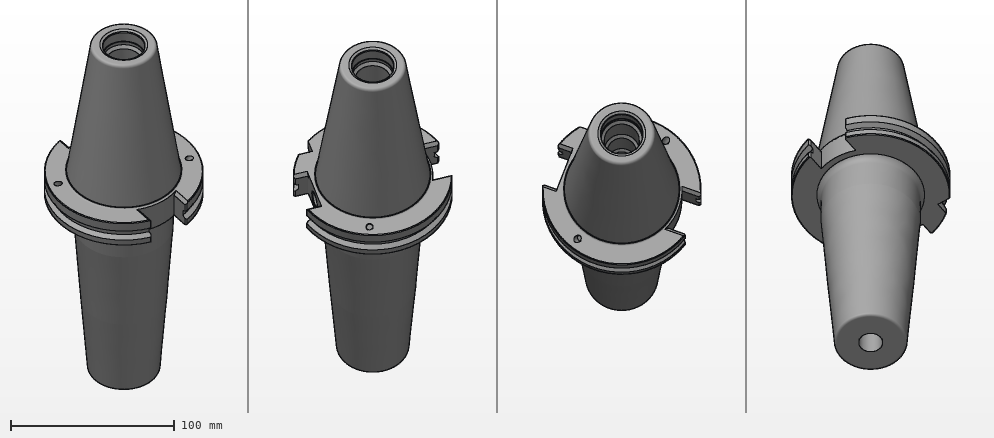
import cadquery as cq
import math

total_height = 261.5
gauge_height = 160.0
flange_bottom = 140.7
neck_bottom = 115.0
nose_line = 57.0

taper_ratio = 7 / 24
gauge_radius = 35.0
taper_top_radius = gauge_radius - (total_height - gauge_height) * taper_ratio / 2
taper_top_rounding = 2.0
collar_radius = 35.5
shoulder_fillet = 1.0

flange_top = gauge_height - shoulder_fillet
flange_radius = 48.7
flange_edge = 0.5
groove_floor_radius = 45.5
groove_middle = 148.9
groove_floor_width = 3.7
groove_mouth_width = 7.3

neck_radius = 30.3
neck_flare_height = 5.2
neck_flare_arc = 6.5
neck_flare_width = neck_flare_arc - math.sqrt(neck_flare_arc**2 - neck_flare_height**2)
nose_line_radius = 26.5
nose_radius = 22.2
nose_rounding = 1.8

bore_steps = [
    (0, 14.6),
    (0.8, 13.0),
    (1.5, 12.8),
    (8.5, 12.8),
    (8.6, 12.5),
    (11.0, 12.5),
    (12.8, 10.7),
    (31.5, 10.7),
    (33.2, 9.0),
    (52.3, 9.0),
    (54.0, 7.3),
]

slot_width = 25.6
slot_top_chamfer = 2.0
slot_rim_chamfer = 1.0
slot_floor_fillet = 0.8
left_slot_floor = 37.5
right_slot_core_radius = 37.0

notch_edge = 29.5

recess_radius = 5.0
recess_chamfer = 0.5
recess_depth = 5.2
recess_hole_radius = 1.3
recess_hole_depth = 2.5

outlet_radius = 2.0
outlet_circle_radius = 41.9
outlet_angle = 70
outlet_tilt = 35
outlet_depth = 5.2


def make_body():
    """Taper, collar, neck and nose turned about Z."""
    outline = (
        cq.Workplane("XZ")
        .lineTo(nose_radius, 0)
        .lineTo(nose_line_radius, nose_line)
        .lineTo(neck_radius, neck_bottom)
        .lineTo(neck_radius, flange_bottom - neck_flare_height)
        .radiusArc((neck_radius + neck_flare_width, flange_bottom), neck_flare_arc)
        .lineTo(neck_radius + neck_flare_width, flange_top)
        .lineTo(collar_radius + shoulder_fillet, flange_top)
        .radiusArc((collar_radius, gauge_height), shoulder_fillet)
        .lineTo(gauge_radius, gauge_height)
        .lineTo(taper_top_radius, total_height)
        .lineTo(0, total_height)
        .close()
    )
    body = outline.revolve(360, (0, 0, 0), (0, 1, 0))
    body = body.faces(">Z").edges().fillet(taper_top_rounding)
    return body.faces("<Z").edges().fillet(nose_rounding)


def make_flange():
    """Flange disc with its V-groove, drive slots and orientation notch."""
    height = flange_top - flange_bottom
    disc = cq.Workplane("XY").workplane(offset=flange_bottom).circle(flange_radius).extrude(height)
    disc = disc.edges().chamfer(flange_edge)
    return disc.cut(make_groove()).cut(make_left_slot()).cut(make_right_slot()).cut(make_notch())


def make_groove():
    """Ring with a V section and a flat floor."""
    half_floor = groove_floor_width / 2
    half_mouth = groove_mouth_width / 2
    return (
        cq.Workplane("XZ")
        .moveTo(groove_floor_radius, groove_middle - half_floor)
        .lineTo(flange_radius, groove_middle - half_mouth)
        .lineTo(flange_radius, groove_middle + half_mouth)
        .lineTo(groove_floor_radius, groove_middle + half_floor)
        .close()
        .revolve(360, (0, 0, 0), (0, 1, 0))
    )


def flange_box(x_min, x_max, y_min, y_max):
    """Box through the full flange thickness."""
    size = (x_max - x_min, y_max - y_min, flange_top - flange_bottom)
    return cq.Workplane("XY").box(*size, centered=False).translate((x_min, y_min, flange_bottom))


def make_slot(x_floor):
    """Slot from a flat floor out through the +X rim, chamfered along its top and rim edges."""
    half_width = slot_width / 2
    slot = flange_box(x_floor, flange_radius, -half_width, half_width)
    slot = slot.edges("|Z and <X").fillet(slot_floor_fillet)

    half_top = half_width + slot_top_chamfer
    top_flare = (
        cq.Workplane("YZ")
        .workplane(offset=x_floor)
        .moveTo(-half_top, flange_top)
        .lineTo(half_top, flange_top)
        .lineTo(0, flange_top - half_top)
        .close()
        .extrude(flange_radius - x_floor)
    )

    corner_x = math.sqrt(flange_radius**2 - (half_width + slot_rim_chamfer) ** 2)
    half_rim = half_width + slot_rim_chamfer + flange_radius - corner_x
    rim_flare = (
        cq.Workplane("XY")
        .workplane(offset=flange_bottom)
        .moveTo(flange_radius, half_rim)
        .lineTo(flange_radius, -half_rim)
        .lineTo(flange_radius - half_rim, 0)
        .close()
        .extrude(flange_top - flange_bottom)
    )
    rim_flare = rim_flare.intersect(flange_box(x_floor, flange_radius, -half_rim, half_rim))
    return slot.union(top_flare).union(rim_flare)


def make_left_slot():
    return make_slot(left_slot_floor).rotate((0, 0, 0), (0, 0, 1), 180)


def make_right_slot():
    """Slot whose floor is a cylinder about Z."""
    core = cq.Workplane("XY").circle(right_slot_core_radius).extrude(total_height)
    return make_slot(neck_radius).cut(core)


def make_notch():
    """Corner block removed from the flange rim."""
    return flange_box(-flange_radius, -notch_edge, notch_edge, flange_radius)


def make_bore():
    """Stepped through bore turned about Z."""
    through_radius = bore_steps[-1][1]
    points = [(radius, total_height - depth) for depth, radius in bore_steps]
    points = [(0, total_height)] + points + [(through_radius, 0), (0, 0)]
    return cq.Workplane("XZ").polyline(points).close().revolve(360, (0, 0, 0), (0, 1, 0))


def make_screw_recess():
    """Chamfered recess with a small blind hole in its floor, along X."""
    face = cq.Workplane("YZ", origin=(-left_slot_floor, 0, groove_middle))
    recess = face.circle(recess_radius).extrude(recess_depth)
    mouth = cq.Solid.makeCone(
        recess_radius + recess_chamfer,
        recess_radius,
        recess_chamfer,
        cq.Vector(-left_slot_floor, 0, groove_middle),
        cq.Vector(1, 0, 0),
    )
    hole = face.circle(recess_hole_radius).extrude(recess_depth + recess_hole_depth)
    return recess.union(mouth).union(hole)


def make_outlets():
    """Two opposite blind holes that lean towards the axis as they go down."""
    outlet = (
        cq.Workplane("XY")
        .circle(outlet_radius)
        .extrude(outlet_depth, both=True)
        .rotate((0, 0, 0), (0, 1, 0), outlet_tilt)
        .translate((outlet_circle_radius, 0, flange_top))
    )
    outlet = outlet.rotate((0, 0, 0), (0, 0, 1), outlet_angle)
    return outlet.union(outlet.rotate((0, 0, 0), (0, 0, 1), 180))


result = make_body().union(make_flange())
for cutter in (make_bore(), make_screw_recess(), make_outlets()):
    result = result.cut(cutter)